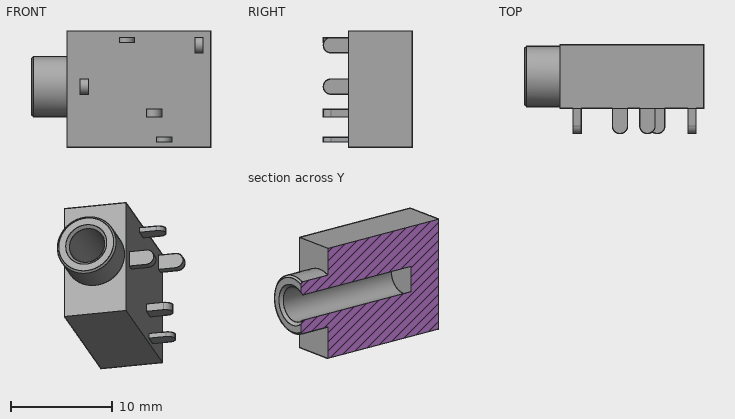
import cadquery as cq

total_length = 17.7
barrel_length = 3.49
barrel_diameter = 6.0
barrel_chamfer = 0.2
bore_diameter = 3.6
bore_depth = 14.16
countersink = 0.3

body_length = total_length - barrel_length
body_depth = 6.3
body_height = 11.5
body_top = 5.5
body_front = -body_depth / 2

pin_length = 2.5
pin_width = 1.52
pin_tip_radius = pin_width / 2
thin_pin = 0.5
medium_pin = 0.78
thick_pin = 0.83

pins_wide_along_x = [
    (9.42, 4.6, thin_pin),
    (12.12, -2.62, medium_pin),
    (13.1, -5.24, thin_pin),
]
pins_wide_along_z = [
    (5.19, 0.0, thick_pin),
    (16.53, 4.09, thick_pin),
]


def make_body():
    """Rectangular housing behind the barrel."""
    return (
        cq.Workplane("XY")
        .box(body_length, body_depth, body_height, centered=(False, True, False))
        .translate((barrel_length, 0, body_top - body_height))
    )


def make_barrel():
    """Round socket with a chamfered outer rim."""
    return (
        cq.Workplane("YZ")
        .circle(barrel_diameter / 2)
        .extrude(barrel_length)
        .faces("<X")
        .chamfer(barrel_chamfer)
    )


def make_bore():
    """Blind plug hole with a 45 degree countersink at the mouth."""
    bore_radius = bore_diameter / 2
    profile = [
        (0, 0),
        (0, bore_radius + countersink),
        (countersink, bore_radius),
        (bore_depth, bore_radius),
        (bore_depth, 0),
    ]
    return cq.Workplane("XY").polyline(profile).close().revolve(360, (0, 0, 0), (1, 0, 0))


def make_pin(x, z, thickness, turned):
    """Flat round-ended pin pointing to -Y; turned puts its width along Z."""
    shoulder = pin_tip_radius - pin_length
    pin = (
        cq.Workplane("XY")
        .moveTo(-pin_width / 2, 0)
        .lineTo(-pin_width / 2, shoulder)
        .threePointArc((0, -pin_length), (pin_width / 2, shoulder))
        .lineTo(pin_width / 2, 0)
        .close()
        .extrude(thickness / 2, both=True)
    )
    if turned:
        pin = pin.rotate((0, 0, 0), (0, 1, 0), 90)
    return pin.translate((x, body_front, z))


result = make_body().union(make_barrel()).cut(make_bore())
for x, z, thickness in pins_wide_along_x:
    result = result.union(make_pin(x, z, thickness, turned=False))
for x, z, thickness in pins_wide_along_z:
    result = result.union(make_pin(x, z, thickness, turned=True))